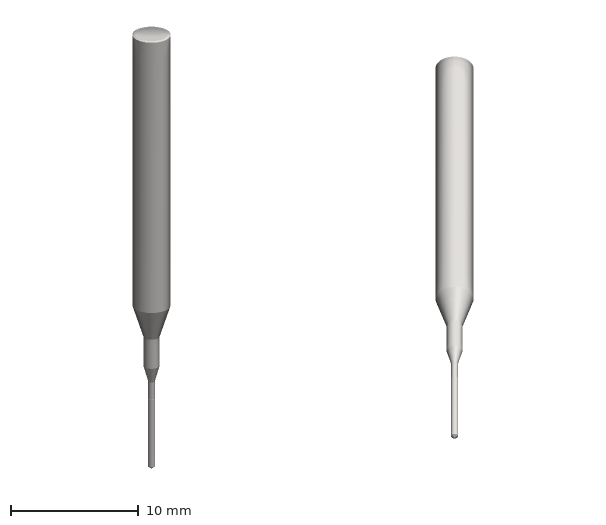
import cadquery as cq

total_length = 37.5

shank_diameter = 3.0
collar_diameter = 1.28
neck_diameter = 0.52
cutter_diameter = 0.55

tip_height = 0.2
cutter_top = 6.05
neck_top = 7.55
collar_bottom = 8.9
collar_top = 11.4
shank_bottom = 14.1

bevel_width = 0.15
bevel_height = 0.08


def revolve_profile(points):
    """Revolve a closed (radius, height) outline about the Z axis."""
    axis_start = (0, 0)
    axis_end = (0, 1)
    return cq.Workplane("XZ").polyline(points).close().revolve(360, axis_start, axis_end)


def make_holder():
    """Bevelled shank that tapers through a collar to the neck above the cutter."""
    shank_radius = shank_diameter / 2
    collar_radius = collar_diameter / 2
    neck_radius = neck_diameter / 2
    return revolve_profile([
        (0, cutter_top),
        (neck_radius, cutter_top),
        (neck_radius, neck_top),
        (collar_radius, collar_bottom),
        (collar_radius, collar_top),
        (shank_radius, shank_bottom),
        (shank_radius, total_length - bevel_height),
        (shank_radius - bevel_width, total_length),
        (0, total_length),
    ])


def make_cutter():
    """Straight cutting rod with a shallow conical point."""
    cutter_radius = cutter_diameter / 2
    return revolve_profile([
        (0, 0),
        (cutter_radius, tip_height),
        (cutter_radius, cutter_top),
        (0, cutter_top),
    ])


holder = make_holder()
cutter = make_cutter()
result = cq.Compound.makeCompound([holder.val(), cutter.val()])